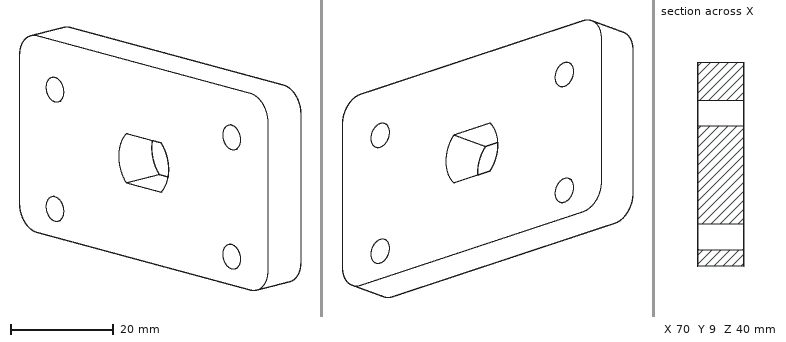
import cadquery as cq

length = 70.0
thickness = 9.0
height = 40.0
corner_radius = 5.0

mount_diameter = 5.0
left_mount_x = -25.0
right_mount_x = 24.8
upper_mount_z = 10.0
lower_mount_z = -14.2

bore_diameter = 14.0
flat_spacing = 10.0


def make_plate():
    plate = cq.Workplane("XY").box(length, thickness, height)
    return plate.edges("|Y").fillet(corner_radius)


def through_cylinder(diameter):
    """Cylinder along Y, centred on the origin, as long as the plate is thick."""
    return cq.Workplane("XZ").circle(diameter / 2).extrude(thickness / 2, both=True)


def make_central_opening():
    flat_band = cq.Workplane("XY").box(bore_diameter, thickness, flat_spacing)
    return through_cylinder(bore_diameter).intersect(flat_band)


result = make_plate().cut(make_central_opening())

for x in (left_mount_x, right_mount_x):
    for z in (lower_mount_z, upper_mount_z):
        result = result.cut(through_cylinder(mount_diameter).translate((x, 0, z)))